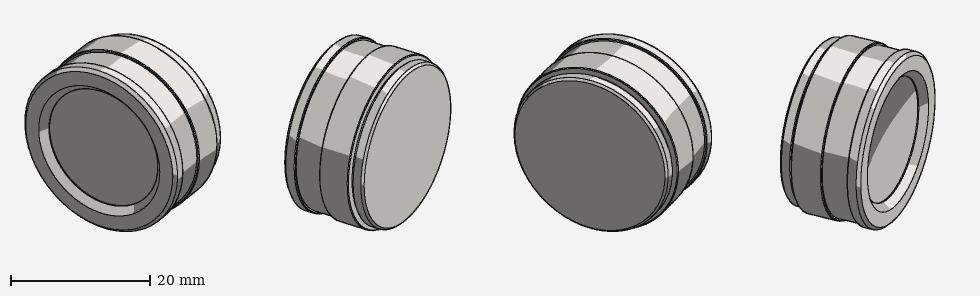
import cadquery as cq
import math

body_radius = 13.2
grip_radius = 12.83
neck_radius = 12.06
rear_radius = 12.55

length = 13.0
front_rim_end = 2.0
grip_end = 6.05
body_end = 10.88
neck_end = 11.35

front_bevel = 0.5
rear_bevel = 0.35
edge_bevel = 0.13

mouth_radius = 10.45
lens_radius = 9.4
mouth_depth = 1.05
rim_depth = 0.18
lens_sag = 0.75


def housing():
    """Stepped solid of revolution about Y, with its front face at Y = 0."""
    outline = [
        (0, 0),
        (body_radius - front_bevel, 0),
        (body_radius, front_bevel),
        (body_radius, front_rim_end - edge_bevel),
        (body_radius - edge_bevel, front_rim_end),
        (grip_radius, front_rim_end),
        (grip_radius, grip_end),
        (body_radius - edge_bevel, grip_end),
        (body_radius, grip_end + edge_bevel),
        (body_radius, body_end - edge_bevel),
        (body_radius - edge_bevel, body_end),
        (neck_radius, body_end),
        (neck_radius, neck_end),
        (rear_radius, neck_end),
        (rear_radius, length - rear_bevel),
        (rear_radius - rear_bevel, length),
        (0, length),
    ]
    profile = cq.Workplane("XY").polyline(outline).close()
    return profile.revolve(360, (0, 0, 0), (0, 1, 0))


def front_opening():
    """Conical mouth, straight rim and concave lens face, as a cutting solid."""
    sphere_radius = (lens_radius**2 + lens_sag**2) / (2 * lens_sag)
    lens_edge = mouth_depth + rim_depth
    half_chord = lens_radius / 2
    half_sag = lens_sag - sphere_radius + math.sqrt(sphere_radius**2 - half_chord**2)
    profile = (
        cq.Workplane("XY")
        .lineTo(mouth_radius, 0)
        .lineTo(lens_radius, mouth_depth)
        .lineTo(lens_radius, lens_edge)
        .threePointArc((half_chord, lens_edge + half_sag), (0, lens_edge + lens_sag))
        .close()
    )
    return profile.revolve(360, (0, 0, 0), (0, 1, 0))


result = housing().cut(front_opening())